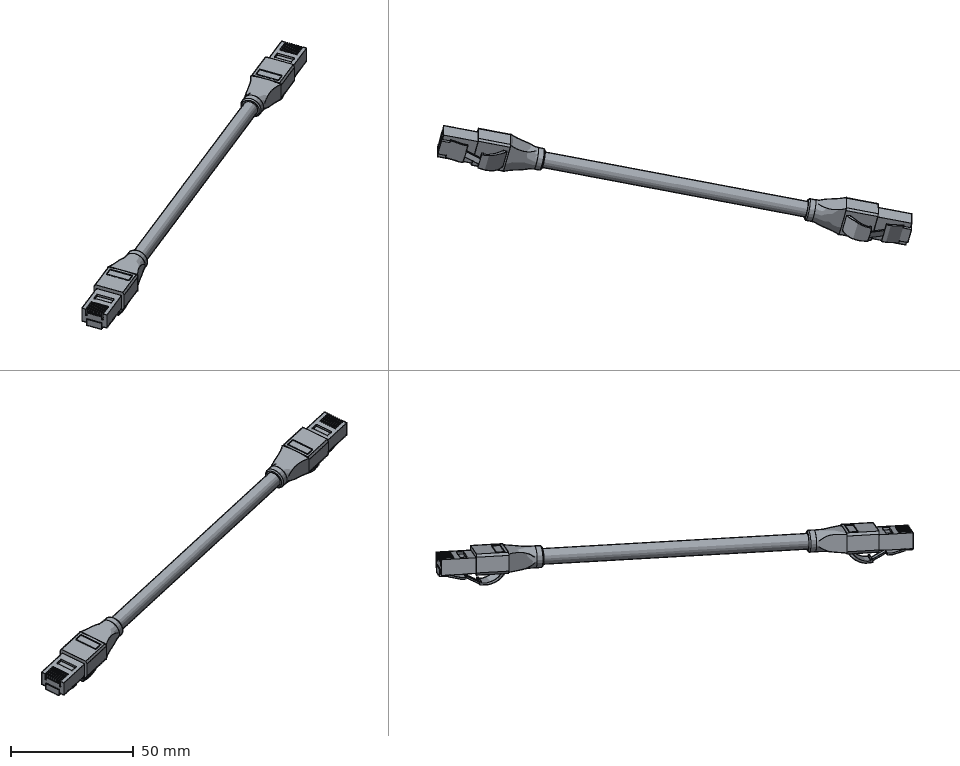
import cadquery as cq

CABLE_LENGTH = 196.9
END_Y = -CABLE_LENGTH / 2

NOSE_FACE = 0.4
SLEEVE_START = 14.8
BOOT_START = 28.2
COLLAR_START = 40.4
BOOT_END = 43.3

CABLE_RADIUS = 3.25

SLEEVE_WIDTH = 13.5
SLEEVE_TOP = 4.5
SLEEVE_CHAMFER_SIDE = 0.5
SLEEVE_CHAMFER_DROP = 1.2
LABEL_WIDTH = 10.0
LABEL_LENGTH = 3.5
LABEL_START = 23.2
LABEL_DEPTH = 0.4

NOSE_WIDTH = 11.2
NOSE_TOP = 2.8
NOSE_BOTTOM = -4.0
WINDOW_WIDTH = 7.7
WINDOW_LENGTH = 3.0
WINDOW_START = 8.5
WINDOW_DEPTH = 1.0

SLOT_COUNT = 8
SLOT_PITCH = 1.02
SLOT_WIDTH = 0.5
SLOT_END = 6.0
SLOT_FLOOR = 1.0
OUTER_SLOT_FLOOR = -0.4

LATCH_BOTTOM = -9.6
STRIP_THICKNESS = 0.8
FOOT_WIDTH = 6.7
FOOT_TOP = -2.0
FOOT_BOTTOM = -5.1
FOOT_END = 4.3
TONGUE_WIDTH = 8.7
TONGUE_END = 10.8
TONGUE_BOTTOM = -6.5
TONGUE_FLAT_START = 8.9
LEVER_WIDTH = 2.8
LEVER_END = 16.7

GUARD_FLAT_END = 19.9
GUARD_BEND = 22.8
GUARD_BEND_BOTTOM = -8.7
GUARD_ROOT = 27.4
GUARD_ROOT_LENGTH = 1.5
GUARD_LIP_TOP = -8.3
GUARD_TIP_WIDTH = 6.7
GUARD_WIDTH = 8.7
GUARD_WIDEST = 24.2
GUARD_ROOT_WIDTH = 7.9

COLLAR_RADIUS = SLEEVE_TOP
COLLAR_CHAMFER = 0.5
BOOT_SIDE_MIN = 0.2
BOOT_SIDE_MAX = 4.0
BOOT_SECTIONS = 8
FLARE_POWER = 3
SIDE_POWER = 3.5


def box(width, start, end, bottom, top):
    """Box centred on X = 0 that spans start to end from the end face."""
    block = cq.Workplane("XY").box(width, end - start, top - bottom, centered=(True, False, False))
    return block.translate((0, END_Y + start, bottom))


def side_strip(points, width):
    """Side outline of (distance from the end face, Z) points, extruded evenly about X = 0."""
    outline = [(END_Y + distance, z) for distance, z in points]
    return cq.Workplane("YZ").polyline(outline).close().extrude(width / 2, both=True)


def make_latch():
    foot = box(FOOT_WIDTH, 0, FOOT_END, FOOT_BOTTOM, FOOT_TOP)
    tongue = side_strip(
        [
            (FOOT_END - STRIP_THICKNESS, FOOT_BOTTOM + STRIP_THICKNESS),
            (FOOT_END - STRIP_THICKNESS, FOOT_BOTTOM),
            (TONGUE_FLAT_START, TONGUE_BOTTOM),
            (TONGUE_END, TONGUE_BOTTOM),
            (TONGUE_END, TONGUE_BOTTOM + STRIP_THICKNESS),
            (TONGUE_FLAT_START, TONGUE_BOTTOM + STRIP_THICKNESS),
        ],
        TONGUE_WIDTH,
    )
    lever = side_strip(
        [
            (TONGUE_END, TONGUE_BOTTOM + STRIP_THICKNESS),
            (TONGUE_END, TONGUE_BOTTOM),
            (LEVER_END, LATCH_BOTTOM),
            (LEVER_END, LATCH_BOTTOM + STRIP_THICKNESS),
        ],
        LEVER_WIDTH,
    )
    return foot.union(tongue).union(lever)


def make_plug():
    nose = box(NOSE_WIDTH, NOSE_FACE, SLEEVE_START, NOSE_BOTTOM, NOSE_TOP)
    window_end = WINDOW_START + WINDOW_LENGTH
    nose = nose.cut(box(WINDOW_WIDTH, WINDOW_START, window_end, NOSE_TOP - WINDOW_DEPTH, NOSE_TOP))
    for index in range(SLOT_COUNT):
        offset = (index - (SLOT_COUNT - 1) / 2) * SLOT_PITCH
        floor = OUTER_SLOT_FLOOR if index in (0, SLOT_COUNT - 1) else SLOT_FLOOR
        slot = box(SLOT_WIDTH, NOSE_FACE, SLOT_END, floor, NOSE_TOP)
        nose = nose.cut(slot.translate((offset, 0, 0)))
    return nose.union(make_latch())


def make_guard():
    lip_end = LEVER_END + STRIP_THICKNESS
    inner_floor = LATCH_BOTTOM + STRIP_THICKNESS
    strip = (
        cq.Workplane("YZ", origin=(0, END_Y, 0))
        .moveTo(LEVER_END, LATCH_BOTTOM)
        .lineTo(GUARD_FLAT_END, LATCH_BOTTOM)
        .threePointArc((GUARD_BEND, GUARD_BEND_BOTTOM), (GUARD_ROOT, -SLEEVE_TOP))
        .lineTo(GUARD_ROOT - GUARD_ROOT_LENGTH, -SLEEVE_TOP)
        .threePointArc(
            (GUARD_BEND - STRIP_THICKNESS, GUARD_BEND_BOTTOM + STRIP_THICKNESS),
            (GUARD_FLAT_END - STRIP_THICKNESS, inner_floor),
        )
        .lineTo(lip_end, inner_floor)
        .lineTo(lip_end, GUARD_LIP_TOP)
        .lineTo(LEVER_END, GUARD_LIP_TOP)
        .close()
        .extrude(GUARD_WIDTH / 2, both=True)
    )
    plan = (
        cq.Workplane("XY", origin=(0, END_Y, LATCH_BOTTOM))
        .moveTo(-GUARD_TIP_WIDTH / 2, LEVER_END)
        .lineTo(GUARD_TIP_WIDTH / 2, LEVER_END)
        .lineTo(GUARD_WIDTH / 2, GUARD_WIDEST)
        .lineTo(GUARD_ROOT_WIDTH / 2, GUARD_ROOT)
        .lineTo(-GUARD_ROOT_WIDTH / 2, GUARD_ROOT)
        .lineTo(-GUARD_WIDTH / 2, GUARD_WIDEST)
        .close()
        .extrude(-SLEEVE_TOP - LATCH_BOTTOM)
    )
    return strip.intersect(plan)


def make_sleeve():
    half = SLEEVE_WIDTH / 2
    flat = half - SLEEVE_CHAMFER_SIDE
    shoulder = SLEEVE_TOP - SLEEVE_CHAMFER_DROP
    body = (
        cq.Workplane("XZ", origin=(0, END_Y + SLEEVE_START, 0))
        .polyline(
            [
                (flat, SLEEVE_TOP),
                (half, shoulder),
                (half, -shoulder),
                (flat, -SLEEVE_TOP),
                (-flat, -SLEEVE_TOP),
                (-half, -shoulder),
                (-half, shoulder),
                (-flat, SLEEVE_TOP),
            ]
        )
        .close()
        .extrude(SLEEVE_START - BOOT_START)
    )
    label_end = LABEL_START + LABEL_LENGTH
    body = body.cut(box(LABEL_WIDTH, LABEL_START, label_end, SLEEVE_TOP - LABEL_DEPTH, SLEEVE_TOP))
    return body.union(make_guard())


def boot_section(fraction):
    """Wire with upright sides and crowned top and bottom; fraction is 0 at the collar, 1 at the sleeve."""
    half_width = COLLAR_RADIUS + (SLEEVE_WIDTH / 2 - COLLAR_RADIUS) * fraction**FLARE_POWER
    side_rise = 1 - (1 - fraction) ** SIDE_POWER
    side = BOOT_SIDE_MIN + (BOOT_SIDE_MAX - BOOT_SIDE_MIN) * side_rise
    place = COLLAR_START + (BOOT_START - COLLAR_START) * fraction
    return (
        cq.Workplane("XZ", origin=(0, END_Y + place, 0))
        .moveTo(half_width, -side)
        .lineTo(half_width, side)
        .threePointArc((0, SLEEVE_TOP), (-half_width, side))
        .lineTo(-half_width, -side)
        .threePointArc((0, -SLEEVE_TOP), (half_width, -side))
        .wire()
        .val()
    )


def make_boot():
    wires = [boot_section(step / (BOOT_SECTIONS - 1)) for step in range(BOOT_SECTIONS)]
    flare = cq.Workplane(cq.Solid.makeLoft(wires))
    collar = (
        cq.Workplane("XZ", origin=(0, END_Y + COLLAR_START, 0))
        .circle(COLLAR_RADIUS)
        .extrude(COLLAR_START - BOOT_END)
        .faces(">Y")
        .chamfer(COLLAR_CHAMFER)
    )
    return flare.union(collar)


def make_cable():
    length = CABLE_LENGTH - 2 * BOOT_END
    return cq.Workplane("XZ").circle(CABLE_RADIUS).extrude(length / 2, both=True)


bodies = [make_cable().val()]
for angle in (0, 180):
    for body in (make_plug(), make_sleeve(), make_boot()):
        bodies.append(body.rotate((0, 0, 0), (0, 0, 1), angle).val())

result = cq.Compound.makeCompound(bodies)